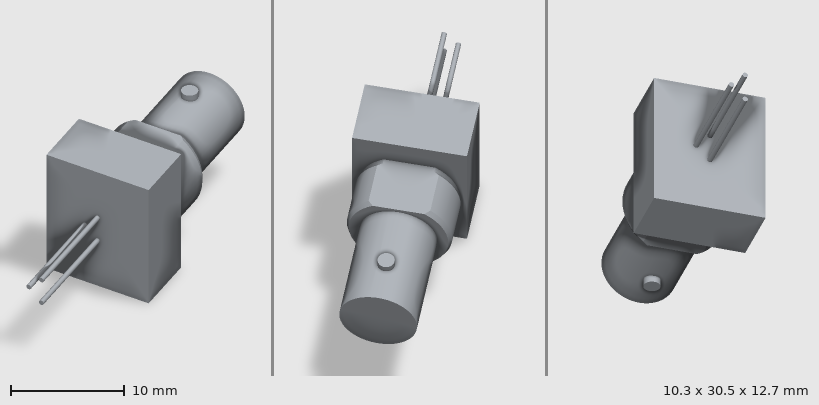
import cadquery as cq


overall_length = 30.48
block_width = 10.31
block_height = 12.7
block_depth = 5.86

pin_length = 10.16
pin_diameter = 0.48
pin_offset = 1.27
pin_positions = [(0, pin_offset), (-pin_offset, 0), (0, -pin_offset)]

collar_diameter = 9.44
collar_length = 5.08
collar_flat_distance = 7.65
neck_diameter = 8.94
neck_length = 0.44
front_chamfer_length = 0.47
rear_chamfer_length = 0.3

barrel_diameter = 6.97
lug_diameter = 1.52
lug_span = 8.21
lug_to_barrel_end = 3.7

insulator_diameter = 5.33
insulator_depth = block_depth / 2
key_width = 1.1
key_reach = 3.62
key_corner_radius = 0.25
key_angle = 45

collar_start = block_depth
collar_end = collar_start + collar_length
barrel_end = overall_length - pin_length
lug_y = barrel_end - lug_to_barrel_end


def cylinder_along_y(diameter, start, end, x=0, z=0):
    """Solid cylinder parallel to Y between two Y positions."""
    return cq.Workplane(
        cq.Solid.makeCylinder(diameter / 2, end - start, cq.Vector(x, start, z), cq.Vector(0, 1, 0))
    )


def make_block():
    return cq.Workplane("XY").box(
        block_width, block_depth, block_height, centered=(True, False, True)
    )


def make_collar():
    neck_radius = neck_diameter / 2
    collar_radius = collar_diameter / 2
    neck_end = collar_start + neck_length
    turned = (
        cq.Workplane("XY")
        .moveTo(0, collar_start)
        .lineTo(neck_radius, collar_start)
        .lineTo(neck_radius, neck_end)
        .lineTo(collar_radius, neck_end + rear_chamfer_length)
        .lineTo(collar_radius, collar_end - front_chamfer_length)
        .lineTo(neck_radius, collar_end)
        .lineTo(0, collar_end)
        .close()
        .revolve(360, (0, 0, 0), (0, 1, 0))
    )
    between_flats = (
        cq.Workplane("XY")
        .box(collar_diameter, collar_length, collar_flat_distance, centered=(True, False, True))
        .translate((0, collar_start, 0))
    )
    return turned.intersect(between_flats)


def make_lugs():
    """One rod across the barrel; its two ends stand out as the lugs."""
    return (
        cq.Workplane("XY")
        .center(0, lug_y)
        .circle(lug_diameter / 2)
        .extrude(lug_span / 2, both=True)
    )


def make_insulator():
    """Round plug with one radial key rounded at its outer corners."""
    plug = cylinder_along_y(insulator_diameter, 0, insulator_depth)
    key = (
        cq.Workplane("XY")
        .box(key_reach, insulator_depth, key_width, centered=(False, False, True))
        .edges("|Y and >X")
        .fillet(key_corner_radius)
        .rotate((0, 0, 0), (0, 1, 0), key_angle)
    )
    return plug.union(key)


def make_body():
    barrel = cylinder_along_y(barrel_diameter, collar_end, barrel_end)
    return make_block().union(make_collar()).union(barrel).union(make_lugs())


insulator = make_insulator()
result = make_body().cut(insulator).union(insulator, clean=False)
for pin_x, pin_z in pin_positions:
    pin = cylinder_along_y(pin_diameter, -pin_length, 0, pin_x, pin_z)
    result = result.union(pin, clean=False)